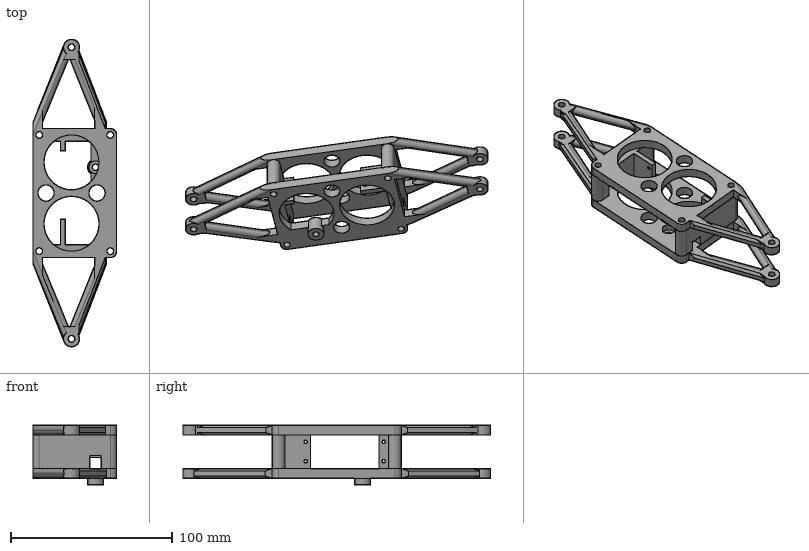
import cadquery as cq
import math

overall_length = 190.7
plate_thickness = 6.1
plate_gap = 20.8
body_half_length = 40.0
body_left = -24.0
body_right = 28.0
corner_radius = 4.0
screw_hole_diameter = 4.0

eye_radius = 5.0
eye_hole_diameter = 4.0
eye_y = overall_length / 2 - eye_radius

large_hole_diameter = 34.0
large_hole_y = 19.0
side_hole_diameter = 10.0
side_hole_x = 15.8

window_left = -18.0
window_right = 14.3
window_left_top = 44.0
window_right_top = 45.0
window_apex_y = 82.8
window_apex_left = -2.0
window_apex_right = -1.0
upper_arm_left = ((body_left, 43.3), (-4.2, 91.5))
upper_arm_right = ((21.0, 43.9), (4.0, 87.7))
lower_arm_left = ((body_left, 43.7), (-4.8, 91.9))
lower_arm_right = ((21.5, 44.5), (4.0, 90.0))
arm_rounding = 2.9
arm_chamfer = 1.5
chamfer_inner_end_x = 4.5
cutter_reach = 7.6
cutter_clearance = 0.2

boss_x = 14.9
boss_y = 16.0
boss_diameter = 10.0
boss_drop = 4.0
boss_pocket_diameter = 8.0
boss_hole_diameter = 3.8
boss_floor_z = 2.0
boss_web_left = 12.0

wall_thickness = 2 * corner_radius
wall_y = body_half_length - corner_radius
rib_left = -6.9
rib_thickness = 3.0
rear_rib_length = 6.0
front_rib_length = 15.8
rib_hole_diameter = 2.0
rib_hole_inset = 3.0
rib_hole_heights = (4.5, 16.5)
notch_width = 7.0
front_notch_height = 8.0
rear_notch_height = 6.9

screw_x_positions = (body_left + corner_radius, body_right - corner_radius)
upper_plate_z = plate_thickness + plate_gap


def cylinder(x, y, bottom, diameter, height):
    return cq.Workplane("XY").workplane(offset=bottom).center(x, y).circle(diameter / 2).extrude(height)


def box(x_min, x_max, y_min, y_max, z_min, z_max):
    size = (x_max - x_min, y_max - y_min, z_max - z_min)
    return cq.Workplane("XY").box(*size, centered=False).translate((x_min, y_min, z_min))


def edge_plane(start, end):
    """Section plane across an arm edge; local x points to the right of start -> end, local y is up."""
    length = math.dist(start, end)
    along = ((end[0] - start[0]) / length, (end[1] - start[1]) / length)
    origin = (start[0] - cutter_reach * along[0], start[1] - cutter_reach * along[1], plate_thickness / 2)
    return cq.Plane(origin=origin, xDir=(along[1], -along[0], 0), normal=(-along[0], -along[1], 0))


def rounding_cutter(start, end):
    """Rounds the upper and lower edges on the left of the line start -> end."""
    half = plate_thickness / 2
    flat = half - arm_rounding
    section = (
        cq.Workplane(edge_plane(start, end))
        .moveTo(cutter_clearance, -half)
        .lineTo(-arm_rounding, -half)
        .radiusArc((0, -flat), -arm_rounding)
        .lineTo(0, flat)
        .radiusArc((-arm_rounding, half), -arm_rounding)
        .lineTo(cutter_clearance, half)
        .close()
    )
    return section.extrude(-math.dist(start, end) - 2 * cutter_reach)


def chamfer_cutter(start, end):
    """Bevels the upper and lower edges on the left of the line start -> end."""
    half = plate_thickness / 2
    section = (
        cq.Workplane(edge_plane(start, end))
        .polyline([
            (cutter_clearance, -half),
            (-arm_chamfer, -half),
            (0, arm_chamfer - half),
            (0, half - arm_chamfer),
            (-arm_chamfer, half),
            (cutter_clearance, half),
        ])
        .close()
    )
    return section.extrude(-math.dist(start, end) - 2 * cutter_reach)


def arm_blank(left_edge, right_edge):
    """The two arms at the +Y end, reaching into the body, before the left edge is rounded."""
    left_foot, left_head = left_edge
    right_foot, right_head = right_edge
    outline = [
        (body_left, wall_y),
        left_foot,
        left_head,
        (0, eye_y),
        right_head,
        right_foot,
        (right_foot[0], wall_y),
    ]
    window_left_foot = (window_left, window_left_top)
    window_left_head = (window_apex_left, window_apex_y)
    window_right_head = (window_apex_right, window_apex_y)
    window_right_foot = (window_right, window_right_top)
    window_outline = [
        (window_left, body_half_length),
        window_left_foot,
        window_left_head,
        window_right_head,
        window_right_foot,
        (window_right, body_half_length),
    ]
    arms = cq.Workplane("XY").polyline(outline).close().extrude(plate_thickness)
    window = cq.Workplane("XY").polyline(window_outline).close().extrude(plate_thickness)
    window_bounds = box(window_left, window_right, body_half_length, window_apex_y, 0, plate_thickness)
    arms = arms.cut(window)
    for start, end in ((window_left_foot, window_left_head), (window_right_head, window_right_foot)):
        arms = arms.cut(rounding_cutter(start, end).intersect(window_bounds))
    chamfer_bounds = box(chamfer_inner_end_x, body_right, body_half_length, eye_y, 0, plate_thickness)
    return arms.cut(chamfer_cutter(right_foot, right_head).intersect(chamfer_bounds))


def mirrored(solid):
    """The same shape at the -Y end."""
    return solid.mirror("XZ")


def plate_blank(left_edge, right_edge):
    """Body, arms and eyes of a plate with its lower face at Z = 0, without the large holes."""
    body = box(body_left, body_right, -body_half_length, body_half_length, 0, plate_thickness)
    body = body.edges("|Z and >X").fillet(corner_radius)
    arms = arm_blank(left_edge, right_edge)
    left_foot, left_head = left_edge
    left_rounding = rounding_cutter(left_head, left_foot)
    plate = body.union(arms).union(mirrored(arms)).cut(left_rounding).cut(mirrored(left_rounding))
    for y in (-eye_y, eye_y):
        plate = plate.union(cylinder(0, y, 0, 2 * eye_radius, plate_thickness))
        plate = plate.cut(cylinder(0, y, 0, eye_hole_diameter, plate_thickness))
    for x in (-side_hole_x, side_hole_x):
        plate = plate.cut(cylinder(x, 0, 0, side_hole_diameter, plate_thickness))
    for x in screw_x_positions:
        for y in (-wall_y, wall_y):
            plate = plate.cut(cylinder(x, y, 0, screw_hole_diameter, plate_thickness))
    return plate


def large_hole(y):
    return cylinder(0, y, 0, large_hole_diameter, plate_thickness)


def make_upper_plate():
    plate = plate_blank(upper_arm_left, upper_arm_right)
    plate = plate.cut(large_hole(large_hole_y)).cut(large_hole(-large_hole_y))
    return plate.translate((0, 0, upper_plate_z))


def make_lower_plate():
    """The rear large hole stops at a web that carries a pocketed boss."""
    plate = plate_blank(lower_arm_left, lower_arm_right)
    web = box(boss_web_left, body_right, 0, body_half_length, 0, plate_thickness)
    plate = plate.cut(large_hole(large_hole_y).cut(web)).cut(large_hole(-large_hole_y))
    boss_height = boss_drop + plate_thickness
    plate = plate.union(cylinder(boss_x, boss_y, -boss_drop, boss_diameter, boss_height))
    plate = plate.cut(cylinder(boss_x, boss_y, boss_floor_z, boss_pocket_diameter, boss_height))
    return plate.cut(cylinder(boss_x, boss_y, -boss_drop, boss_hole_diameter, boss_height))


def make_wall(end, rib_length, notch_height):
    """Round-ended wall across the body at the +Y (end = 1) or -Y (end = -1) side, with a drilled rib."""
    y = end * wall_y
    wall_length = body_right - body_left
    wall = (
        cq.Workplane("XY")
        .workplane(offset=plate_thickness)
        .center((body_left + body_right) / 2, y)
        .slot2D(wall_length, wall_thickness)
        .extrude(plate_gap)
    )
    inner_face = end * (wall_y - wall_thickness / 2)
    rib_tip = inner_face - end * rib_length
    rib_y_range = sorted((y, rib_tip))
    wall = wall.union(
        box(rib_left, rib_left + rib_thickness, *rib_y_range, plate_thickness, upper_plate_z)
    )
    for height in rib_hole_heights:
        rib_hole = (
            cq.Workplane("YZ")
            .workplane(offset=rib_left)
            .center(rib_tip + end * rib_hole_inset, plate_thickness + height)
            .circle(rib_hole_diameter / 2)
            .extrude(rib_thickness)
        )
        wall = wall.cut(rib_hole)
    notch = box(
        boss_x - notch_width / 2,
        boss_x + notch_width / 2,
        y - wall_thickness / 2,
        y + wall_thickness / 2,
        plate_thickness,
        plate_thickness + notch_height,
    )
    wall = wall.cut(notch)
    for x in screw_x_positions:
        wall = wall.cut(cylinder(x, y, plate_thickness, screw_hole_diameter, plate_gap))
    return wall


lower_plate = make_lower_plate()
upper_plate = make_upper_plate()
rear_wall = make_wall(1, rear_rib_length, rear_notch_height)
front_wall = make_wall(-1, front_rib_length, front_notch_height)

result = cq.Compound.makeCompound([
    lower_plate.val(),
    upper_plate.val(),
    rear_wall.val(),
    front_wall.val(),
])